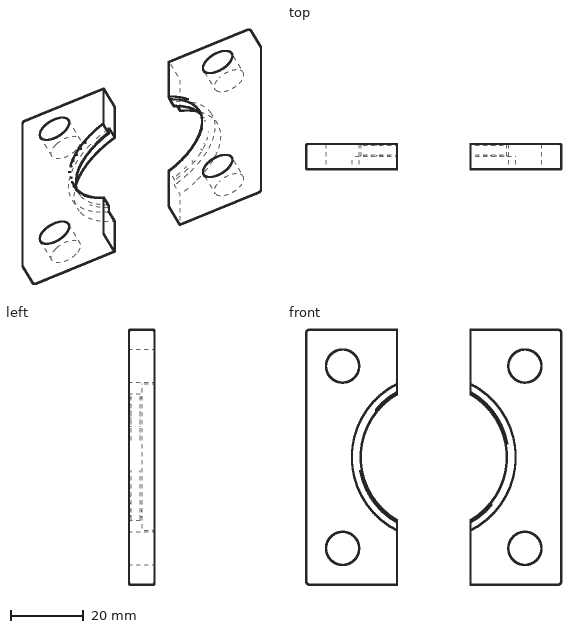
import cadquery as cq

SIDE = 70.0
THICKNESS = 7.0
HALF_SPLIT = 10.0

CORNER_RADIUS = 1.0
EDGE_RADIUS = 0.5

HOLE_DIAMETER = 9.0
HOLE_OFFSET = 25.0

BORE_RADIUS = 20.0
RECESS_RADIUS = 22.5
RECESS_DEPTH = THICKNESS / 2
LIP_RADIUS = 0.5

FRONT_Y = -THICKNESS / 2
BACK_Y = THICKNESS / 2
RECESS_FLOOR_Y = FRONT_Y + RECESS_DEPTH


def make_blank():
    """Square plate with rounded corners and rounded front and back rims."""
    blank = cq.Workplane("XY").box(SIDE, THICKNESS, SIDE)
    blank = blank.edges("|Y").fillet(CORNER_RADIUS)
    return blank.faces("<Y or >Y").edges().fillet(EDGE_RADIUS)


def make_bolt_holes():
    """Cutters for the four through holes."""
    return (
        cq.Workplane("XZ")
        .rect(2 * HOLE_OFFSET, 2 * HOLE_OFFSET, forConstruction=True)
        .vertices()
        .circle(HOLE_DIAMETER / 2)
        .extrude(THICKNESS / 2, both=True)
    )


def make_stepped_bore():
    """Cutter for the bore with rounded edges and its front recess, revolved about Y."""
    return (
        cq.Workplane("XY")
        .moveTo(0, FRONT_Y)
        .lineTo(RECESS_RADIUS, FRONT_Y)
        .lineTo(RECESS_RADIUS, RECESS_FLOOR_Y)
        .lineTo(BORE_RADIUS + LIP_RADIUS, RECESS_FLOOR_Y)
        .radiusArc((BORE_RADIUS, RECESS_FLOOR_Y + LIP_RADIUS), LIP_RADIUS)
        .lineTo(BORE_RADIUS, BACK_Y - LIP_RADIUS)
        .radiusArc((BORE_RADIUS + LIP_RADIUS, BACK_Y), LIP_RADIUS)
        .lineTo(0, BACK_Y)
        .close()
        .revolve(360, (0, 0, 0), (0, 1, 0))
    )


def make_clamp_half(direction):
    """One half of the plate: direction is -1 for the -X half and +1 for the +X half."""
    width = SIDE / 2 - HALF_SPLIT
    centre_x = direction * (HALF_SPLIT + width / 2)
    half_region = cq.Workplane("XY").box(width, THICKNESS, SIDE).translate((centre_x, 0, 0))
    half = make_blank().intersect(half_region)
    return half.cut(make_bolt_holes()).cut(make_stepped_bore())


clamp_halves = [make_clamp_half(direction).val() for direction in (-1, 1)]

result = cq.Compound.makeCompound(clamp_halves)